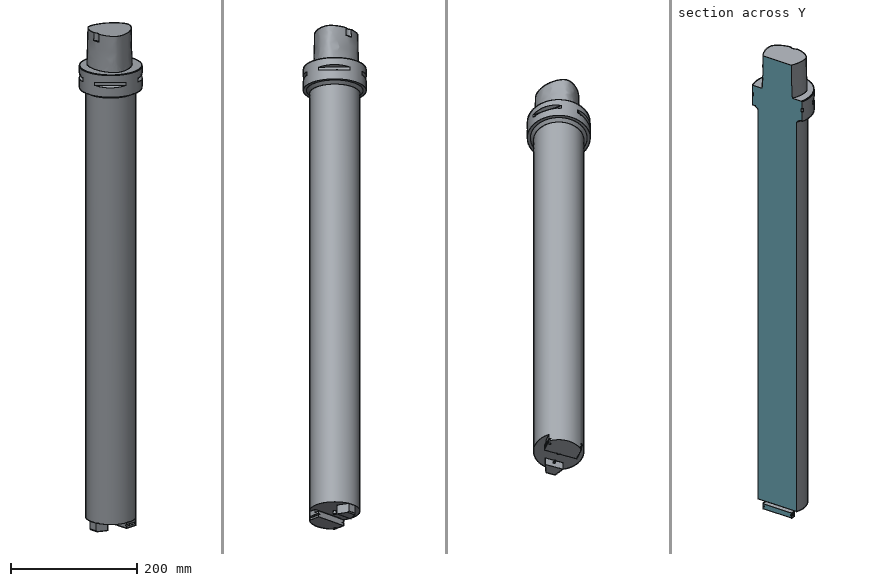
import cadquery as cq
import math

OVERALL_LENGTH = 831.19
SHANK_LENGTH = 60.0
BAR_LENGTH = 755.0
BAR_END_Z = -BAR_LENGTH
TIP_Z = SHANK_LENGTH - OVERALL_LENGTH

SHANK_BASE_DIAMETER = 72.0
SHANK_TAPER = 1 / 20
SHANK_TOP_DIAMETER = SHANK_BASE_DIAMETER - SHANK_TAPER * SHANK_LENGTH
LOBE_HEIGHT = 2.8
LOBE_POINTS = 72
NOTCH_DIAMETER = 16.5
NOTCH_LENGTH = 13.0
NOTCH_DEPTH = 2.6

FLANGE_DIAMETER = 100.0
FLANGE_HEIGHT = 37.0
FLANGE_EDGE_CHAMFER = 1.0
GROOVE_COUNT = 4
GROOVE_MID_Z = -17.0
GROOVE_DEPTH = 6.5
GROOVE_FLOOR_WIDTH = 5.0
GROOVE_MOUTH_WIDTH = 9.0

BAR_DIAMETER = 80.0
BAR_RADIUS = BAR_DIAMETER / 2
CONE_TOP_RADIUS = 45.0
CONE_HEIGHT = CONE_TOP_RADIUS - BAR_RADIUS

BLOCK_HEIGHT = 15.0
BLOCK_BOTTOM_Z = BAR_END_Z - BLOCK_HEIGHT
KEY_INNER_Y = -21.0
KEY_OUTER_Y = -39.3
KEY_INNER_WIDTH = 30.0
KEY_OUTER_WIDTH = 14.0
KEY_CHAMFER = 2.0
STUB_DIAMETER = 3.3
STUB_LENGTH = 4.5
STUB_DROP = 5.5
SEAT_WIDTH = 55.0
SEAT_NECK_Y = 16.0
SEAT_NECK_HEIGHT = 5.0
SEAT_PLATE_Y = 8.0
SEAT_GROOVE_Z = BAR_END_Z - 10.0
SEAT_GROOVE_DEPTH = 2.5
SEAT_GROOVE_WIDTH = 2.5
PIN_DIAMETER = 5.0
PIN_LENGTH = 5.0
TIP_X = 24.0
TIP_Y = 24.0
TIP_RADIUS = 1.65


def lobed_section(diameter, z):
    """Closed constant-width wire with three lobes, one of them toward +Y."""

    def point(angle):
        support = diameter / 2 - LOBE_HEIGHT * math.sin(3 * angle)
        slope = -3 * LOBE_HEIGHT * math.cos(3 * angle)
        x = support * math.cos(angle) - slope * math.sin(angle)
        y = support * math.sin(angle) + slope * math.cos(angle)
        return cq.Vector(x, y, z)

    step = 2 * math.pi / LOBE_POINTS
    points = [point(i * step) for i in range(LOBE_POINTS)]
    return cq.Wire.assembleEdges([cq.Edge.makeSpline(points, periodic=True)])


def make_shank():
    """Tapered shank with a round-backed notch at the top of its -Y flat."""
    base = lobed_section(SHANK_BASE_DIAMETER, 0)
    top = lobed_section(SHANK_TOP_DIAMETER, SHANK_LENGTH)
    shank = cq.Workplane(cq.Solid.makeLoft([base, top], True))
    flat_radius = SHANK_TOP_DIAMETER / 2 - LOBE_HEIGHT
    notch_radius = NOTCH_DIAMETER / 2
    notch = (
        cq.Workplane(origin=(0, NOTCH_DEPTH - flat_radius - notch_radius, SHANK_LENGTH))
        .circle(notch_radius)
        .extrude(-NOTCH_LENGTH)
    )
    return shank.cut(notch)


def make_flange_and_bar():
    """Flange, cone and bar turned in one profile about Z."""
    flange_radius = FLANGE_DIAMETER / 2
    profile = [
        (0, 0),
        (flange_radius - FLANGE_EDGE_CHAMFER, 0),
        (flange_radius, -FLANGE_EDGE_CHAMFER),
        (flange_radius, -FLANGE_HEIGHT),
        (CONE_TOP_RADIUS, -FLANGE_HEIGHT),
        (BAR_RADIUS, -FLANGE_HEIGHT - CONE_HEIGHT),
        (BAR_RADIUS, BAR_END_Z),
        (0, BAR_END_Z),
    ]
    return cq.Workplane("XZ").polyline(profile).close().revolve(360, (0, 0), (0, 1))


def make_gripper_grooves():
    """Straight trapezoidal slots across the flange rim, between the X and Y axes."""
    rim = FLANGE_DIAMETER / 2
    floor = rim - GROOVE_DEPTH
    half_floor = GROOVE_FLOOR_WIDTH / 2
    half_mouth = GROOVE_MOUTH_WIDTH / 2
    slot = (
        cq.Workplane("XZ", origin=(0, 0, GROOVE_MID_Z))
        .polyline([(floor, -half_floor), (floor, half_floor), (rim, half_mouth), (rim, -half_mouth)])
        .close()
        .extrude(FLANGE_DIAMETER / 2, both=True)
    )
    pitch = 360 / GROOVE_COUNT
    grooves = cq.Workplane()
    for i in range(GROOVE_COUNT):
        grooves = grooves.add(slot.rotate((0, 0, 0), (0, 0, 1), (i + 0.5) * pitch))
    return grooves.combine()


def end_cylinder():
    """Extension of the bar that bounds the blocks on its end face."""
    return cq.Workplane(origin=(0, 0, BLOCK_BOTTOM_Z)).circle(BAR_RADIUS).extrude(BLOCK_HEIGHT)


def make_key():
    """Wedge-shaped key on the -Y side, with a stub pin on its inner face."""
    half_inner = KEY_INNER_WIDTH / 2
    half_outer = KEY_OUTER_WIDTH / 2
    outline = [
        (-half_inner, KEY_INNER_Y),
        (half_inner, KEY_INNER_Y),
        (half_outer, KEY_OUTER_Y),
        (-half_outer, KEY_OUTER_Y),
    ]
    wedge = cq.Workplane(origin=(0, 0, BLOCK_BOTTOM_Z)).polyline(outline).close().extrude(BLOCK_HEIGHT)
    wedge = wedge.faces("<Y").edges("<Z").chamfer(KEY_CHAMFER)
    stub = (
        cq.Workplane("XZ", origin=(0, KEY_INNER_Y, BAR_END_Z - STUB_DROP))
        .circle(STUB_DIAMETER / 2)
        .extrude(-STUB_LENGTH)
    )
    return wedge.union(stub)


def make_seat():
    """Insert seat on the +Y side: a neck, a plate reaching further inward and a pointed cutting tip."""
    neck = cq.Workplane().box(SEAT_WIDTH, BAR_RADIUS - SEAT_NECK_Y, SEAT_NECK_HEIGHT, (True, False, False))
    neck = neck.translate((0, SEAT_NECK_Y, BAR_END_Z - SEAT_NECK_HEIGHT))
    plate_height = BLOCK_HEIGHT - SEAT_NECK_HEIGHT
    plate = cq.Workplane().box(SEAT_WIDTH, BAR_RADIUS - SEAT_PLATE_Y, plate_height, (True, False, False))
    plate = plate.translate((0, SEAT_PLATE_Y, BLOCK_BOTTOM_Z))
    seat = neck.union(plate).intersect(end_cylinder())
    for side in (-1, 1):
        wall = side * SEAT_WIDTH / 2
        root = wall - side * SEAT_GROOVE_DEPTH
        groove = (
            cq.Workplane("XZ")
            .polyline([
                (root, SEAT_GROOVE_Z),
                (wall, SEAT_GROOVE_Z + SEAT_GROOVE_WIDTH / 2),
                (wall, SEAT_GROOVE_Z - SEAT_GROOVE_WIDTH / 2),
            ])
            .close()
            .extrude(-BAR_RADIUS)
        )
        seat = seat.cut(groove)
    tip_base = cq.Vector(TIP_X, TIP_Y, BLOCK_BOTTOM_Z)
    tip_height = BLOCK_BOTTOM_Z - TIP_Z
    tip = cq.Solid.makeCone(TIP_RADIUS, 0, tip_height, tip_base, cq.Vector(0, 0, -1))
    return seat.union(cq.Workplane(tip))


def make_centre_pin():
    """Short pin on the axis, below the end face of the bar."""
    return cq.Workplane(origin=(0, 0, BAR_END_Z)).circle(PIN_DIAMETER / 2).extrude(-PIN_LENGTH)


result = (
    make_flange_and_bar()
    .cut(make_gripper_grooves())
    .union(make_shank())
    .union(make_key())
    .union(make_seat())
    .union(make_centre_pin())
)